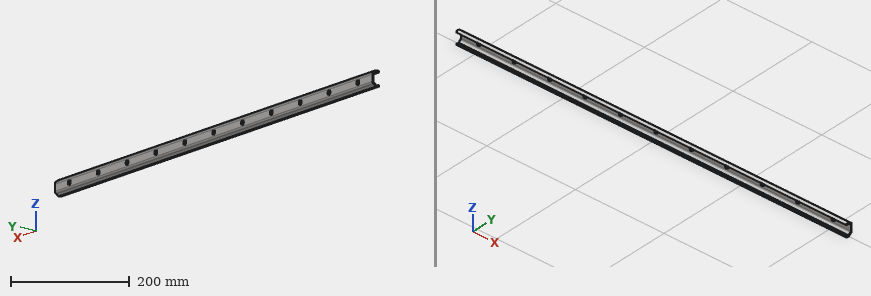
import cadquery as cq
import math

length = 880.0
depth = 15.0
height = 29.47

thickness = 3.0
race_radius = 8.0
bend_radius = 4.8
lip_round_radius = 0.7
race_end_tilt = math.radians(20.0)
shoulder_tilt = math.radians(37.0)
web_tilt = math.radians(90.0)
lip_tilt = math.radians(-40.5)

hole_diameter = 8.0
hole_count = 11
hole_pitch = 80.0

lip_round_distance = race_radius - lip_round_radius
lip_round_tilt = lip_tilt + math.asin(lip_round_radius / lip_round_distance)
lip_flat_radius = math.sqrt(lip_round_distance**2 - lip_round_radius**2)

race_centre = (
    lip_round_radius - lip_round_distance * math.sin(lip_round_tilt),
    height / 2 - race_radius,
)

shoulder_distance = race_radius * math.cos(shoulder_tilt - race_end_tilt)

race_inner_radius = race_radius - thickness
inner_race_end_tilt = shoulder_tilt - math.acos((shoulder_distance - thickness) / race_inner_radius)

bend_inner_radius = bend_radius - thickness
bend_centre_y = depth - bend_radius
bend_offset = shoulder_distance - bend_radius - (bend_centre_y - race_centre[0]) * math.sin(shoulder_tilt)
bend_centre = (bend_centre_y, race_centre[1] + bend_offset / math.cos(shoulder_tilt))


def polar_point(centre, radius, tilt):
    """Point in the YZ plane at a radius and a tilt from a centre."""
    return centre[0] + radius * math.sin(tilt), centre[1] + radius * math.cos(tilt)


def upper_half():
    """Half of the rail above Z = 0, from the middle of the web to the lip."""
    mid_bend_tilt = (shoulder_tilt + web_tilt) / 2
    top_tilt = 0.0
    lip_round_centre = polar_point(race_centre, lip_round_distance, lip_round_tilt)
    lip_round_mid_tilt = (lip_round_tilt + lip_tilt - math.pi / 2) / 2
    return (
        cq.Workplane("YZ")
        .moveTo(depth, 0)
        .lineTo(*polar_point(bend_centre, bend_radius, web_tilt))
        .threePointArc(
            polar_point(bend_centre, bend_radius, mid_bend_tilt),
            polar_point(bend_centre, bend_radius, shoulder_tilt),
        )
        .lineTo(*polar_point(race_centre, race_radius, race_end_tilt))
        .threePointArc(
            polar_point(race_centre, race_radius, top_tilt),
            polar_point(race_centre, race_radius, lip_round_tilt),
        )
        .threePointArc(
            polar_point(lip_round_centre, lip_round_radius, lip_round_mid_tilt),
            polar_point(race_centre, lip_flat_radius, lip_tilt),
        )
        .lineTo(*polar_point(race_centre, race_inner_radius, lip_tilt))
        .threePointArc(
            polar_point(race_centre, race_inner_radius, top_tilt),
            polar_point(race_centre, race_inner_radius, inner_race_end_tilt),
        )
        .lineTo(*polar_point(bend_centre, bend_inner_radius, shoulder_tilt))
        .threePointArc(
            polar_point(bend_centre, bend_inner_radius, mid_bend_tilt),
            polar_point(bend_centre, bend_inner_radius, web_tilt),
        )
        .lineTo(depth - thickness, 0)
        .close()
        .extrude(length / 2, both=True)
    )


def mounting_holes():
    """Row of cylinders running through the web, centred along the length."""
    return (
        cq.Workplane("XZ", origin=(0, depth, 0))
        .rarray(hole_pitch, 1, hole_count, 1)
        .circle(hole_diameter / 2)
        .extrude(thickness)
    )


half = upper_half()
rail = half.union(half.mirror("XY"))
result = rail.cut(mounting_holes())